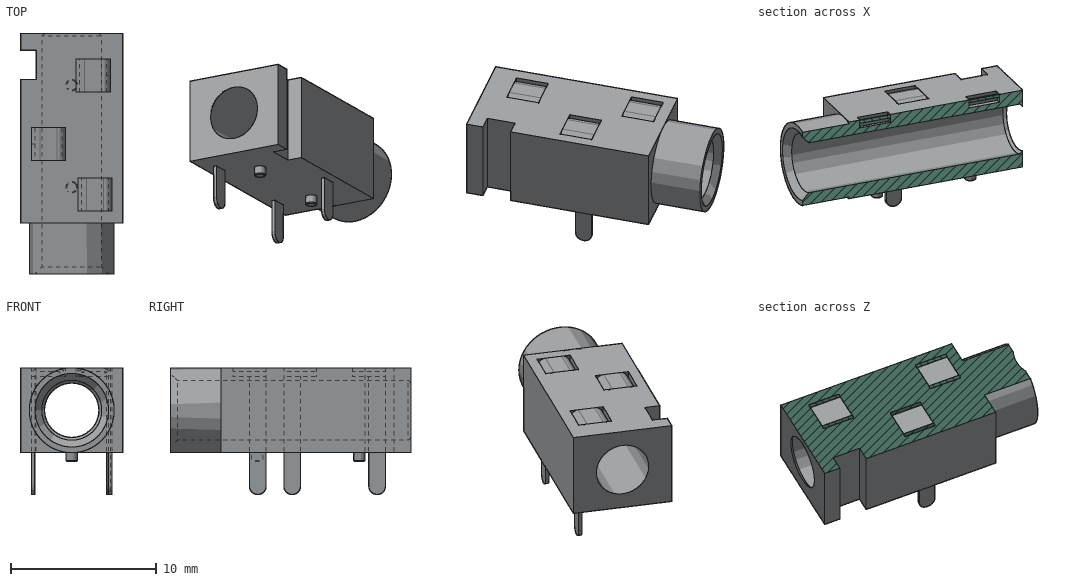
import cadquery as cq


block_width = 7.02
block_height = 5.85
total_length = 16.56
barrel_length = 3.5
block_length = total_length - barrel_length
block_top = block_height / 2
block_bottom = -block_height / 2
barrel_diameter = block_height

mouth_diameter = 5.07
throat_diameter = 4.12
back_diameter = 3.73
lead_in_depth = 0.48
back_cone_length = (throat_diameter - back_diameter) / 2

notch_depth = 1.06
notch_length = 1.99
notch_from_back = 1.18

peg_diameter = 0.8
peg_height = 0.6
peg_chamfer = 0.07
pegs_from_back = [3.56, 10.58]

strip_thickness = 0.25
head_span = 2.35
head_length = 2.27
bend_radius = 0.6
leg_width = 1.16
leg_drop = 2.88
leg_tip = block_bottom - leg_drop
head_bottom = block_top - bend_radius

terminal_places = [
    (2.65, 1.75, True),
    (-2.78, 6.49, False),
    (2.78, 9.97, True),
]


def box(x_min, x_max, y_min, y_max, z_min, z_max):
    """Box between the given limits."""
    size = (x_max - x_min, y_max - y_min, z_max - z_min)
    return cq.Workplane("XY").box(*size, centered=False).translate((x_min, y_min, z_min))


def x_limits(leg_x, width):
    """X limits of a width measured from the leg's outer face toward the middle."""
    inner_x = leg_x - width if leg_x > 0 else leg_x + width
    return min(leg_x, inner_x), max(leg_x, inner_x)


def head_limits(leg_x, from_back):
    """X and Y limits of a terminal head, which is also its pocket."""
    x_min, x_max = x_limits(leg_x, head_span)
    y_max = block_length - from_back
    return x_min, x_max, y_max - head_length, y_max


def leg_limits(leg_x, from_back, leg_at_rear):
    """X and Y limits of a terminal leg, which is also its slot."""
    x_min, x_max = x_limits(leg_x, strip_thickness)
    _, _, head_front, head_rear = head_limits(leg_x, from_back)
    y_min = head_rear - leg_width if leg_at_rear else head_front
    return x_min, x_max, y_min, y_min + leg_width


def make_bore():
    """Bore with a cone at each end, revolved about the Y axis."""
    lead_in_end = lead_in_depth - barrel_length
    return (
        cq.Workplane("XY")
        .moveTo(0, -barrel_length)
        .lineTo(mouth_diameter / 2, -barrel_length)
        .lineTo(throat_diameter / 2, lead_in_end)
        .lineTo(throat_diameter / 2, block_length - back_cone_length)
        .lineTo(back_diameter / 2, block_length)
        .lineTo(0, block_length)
        .close()
        .revolve(360, (0, 0, 0), (0, 1, 0))
    )


def make_peg(from_back):
    """Round peg below the block with a chamfered lower rim."""
    return (
        cq.Workplane("XY")
        .workplane(offset=block_bottom)
        .center(0, block_length - from_back)
        .circle(peg_diameter / 2)
        .extrude(-peg_height)
        .faces("<Z")
        .chamfer(peg_chamfer)
    )


def make_housing():
    """Block with barrel, bore, notch, pegs, and a pocket and slot per terminal."""
    side = block_width / 2
    body = box(-side, side, 0, block_length, block_bottom, block_top)
    barrel = cq.Workplane("XZ").circle(barrel_diameter / 2).extrude(barrel_length)
    body = body.union(barrel).cut(make_bore())

    notch_rear = block_length - notch_from_back
    notch = box(-side, notch_depth - side, notch_rear - notch_length, notch_rear, block_bottom, block_top)
    body = body.cut(notch)

    for from_back in pegs_from_back:
        body = body.union(make_peg(from_back))

    for leg_x, from_back, leg_at_rear in terminal_places:
        pocket = box(*head_limits(leg_x, from_back), head_bottom, block_top)
        slot = box(*leg_limits(leg_x, from_back, leg_at_rear), block_bottom, head_bottom)
        body = body.cut(pocket).cut(slot)
    return body


def make_arch(x_min, x_max, y_min, y_max, radius):
    """Solid arch of the given radius: quarter-round sides and a flat top."""
    top = head_bottom + radius
    return (
        cq.Workplane("XZ", origin=(0, y_max, 0))
        .moveTo(x_min, head_bottom)
        .radiusArc((x_min + radius, top), radius)
        .lineTo(x_max - radius, top)
        .radiusArc((x_max, head_bottom), radius)
        .close()
        .extrude(y_max - y_min)
    )


def make_terminal(leg_x, from_back, leg_at_rear):
    """Strip bent down at both sides, with a round-tipped leg under one side."""
    x_min, x_max, y_min, y_max = head_limits(leg_x, from_back)
    outer = make_arch(x_min, x_max, y_min, y_max, bend_radius)
    inner = make_arch(
        x_min + strip_thickness,
        x_max - strip_thickness,
        y_min,
        y_max,
        bend_radius - strip_thickness,
    )
    head = outer.cut(inner)

    leg_x_min, leg_x_max, leg_front, leg_rear = leg_limits(leg_x, from_back, leg_at_rear)
    tip_radius = leg_width / 2
    leg = (
        cq.Workplane("YZ")
        .workplane(offset=leg_x_min)
        .moveTo(leg_front, head_bottom)
        .lineTo(leg_front, leg_tip + tip_radius)
        .threePointArc((leg_front + tip_radius, leg_tip), (leg_rear, leg_tip + tip_radius))
        .lineTo(leg_rear, head_bottom)
        .close()
        .extrude(leg_x_max - leg_x_min)
    )
    return head.union(leg)


housing = make_housing()
terminals = [make_terminal(*place) for place in terminal_places]

result = cq.Compound.makeCompound([housing.val(), *[terminal.val() for terminal in terminals]])